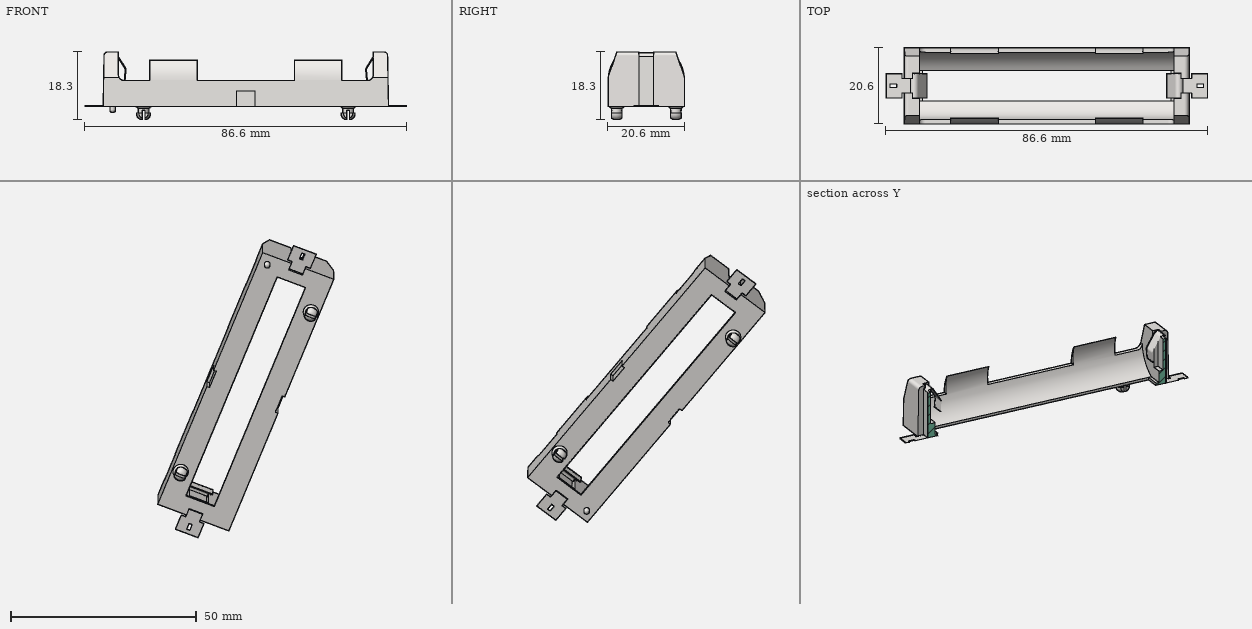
import cadquery as cq
import math

housing_half_width = 10.3
housing_height = 14.7
base_half_length = 38.5
top_half_length = 38.2
inner_half_length = 34.3
rail_height = 7.0
rail_fillet = 1.6
end_top_fillet = 1.0
bevel_start_height = 7.8
bevel_top_half_width = 8.0

bore_radius = 9.3
bore_axis_height = 9.1
floor_thickness = 0.8
opening_half_length = 33.4

clip_top = 12.5
clip_inner_end = 13.1
clip_length = 12.8

side_recess_width = 4.9
side_recess_height = 4.2
side_recess_depth = 0.8

sheet_thickness = 0.3
contact_half_length = 43.3
contact_half_width = 3.3
leaf_side_clearance = 0.1
neck_half_width = 2.0
tab_inner_end = 39.0
leaf_start = 36.1
roll_centre_x = 35.6
roll_centre_z = 13.4
roll_radius = 1.1
leaf_slope = math.radians(58)
foot_slope = math.radians(95)
knee_x = 32.2
foot_length = 3.1
knee_inner_radius = 0.7
tab_slot_x = 41.3
tab_slot_length = 1.7
tab_slot_width = 0.9

riser_back_x = roll_centre_x + roll_radius - sheet_thickness
lower_notch_floor = 12.1
notch_half_width = contact_half_width + leaf_side_clearance
pocket_half_width = 2.7
pocket_floor = 4.2
pocket_depth = 1.3

pin_y = 8.0
snap_pin_x = 27.55
pin_length = 3.55
pin_radius = 2.95 / 2
pin_base_radius = 2.1
pin_base_height = 0.5
barb_radius = 1.9
barb_tip_radius = 0.65
barb_top = 1.7
barb_round_start = 2.0
pin_slot_width = 0.7
pin_slot_top = 1.0
locator_x = 35.9
locator_radius = 1.6 / 2
locator_length = 1.65
locator_round = 0.7


def span_box(x_range, y_range, z_range):
    """Axis-aligned box between pairs of limits."""
    (x0, x1), (y0, y1), (z0, z1) = x_range, y_range, z_range
    return cq.Workplane("XY").box(x1 - x0, y1 - y0, z1 - z0, centered=False).translate((x0, y0, z0))


def bore():
    """Cell space between the end walls, flat at the floor."""
    cylinder = (
        cq.Workplane("YZ", origin=(-inner_half_length, 0, bore_axis_height))
        .circle(bore_radius)
        .extrude(2 * inner_half_length)
    )
    above_floor = span_box(
        (-inner_half_length, inner_half_length),
        (-bore_radius, bore_radius),
        (floor_thickness, bore_axis_height + bore_radius),
    )
    return cylinder.intersect(above_floor)


def cradle_block():
    """Solid with the side outline of the housing and the bevelled flanks of its end walls."""
    block = (
        cq.Workplane("XZ")
        .polyline([
            (-base_half_length, 0),
            (-top_half_length, housing_height),
            (-inner_half_length, housing_height),
            (-inner_half_length, rail_height),
            (inner_half_length, rail_height),
            (inner_half_length, housing_height),
            (top_half_length, housing_height),
            (base_half_length, 0),
        ])
        .close()
        .extrude(housing_half_width, both=True)
    )
    for side in (-1, 1):
        block = block.edges(
            cq.selectors.NearestToPointSelector((side * inner_half_length, 0, rail_height))
        ).fillet(rail_fillet)
        block = block.edges(
            cq.selectors.NearestToPointSelector((side * top_half_length, 0, housing_height))
        ).fillet(end_top_fillet)
    end_section = (
        cq.Workplane("YZ")
        .polyline([
            (-housing_half_width, 0),
            (-housing_half_width, bevel_start_height),
            (-bevel_top_half_width, housing_height),
            (bevel_top_half_width, housing_height),
            (housing_half_width, bevel_start_height),
            (housing_half_width, 0),
        ])
        .close()
        .extrude(base_half_length, both=True)
    )
    return block.intersect(end_section)


def clips():
    """Four clips; the outer face curves inwards, tangent to the rail sides, and thins to the top."""
    curved_bar = (
        cq.Workplane("YZ", origin=(clip_inner_end, 0, rail_height))
        .circle(housing_half_width)
        .extrude(clip_length)
    )
    height_band = span_box(
        (clip_inner_end, clip_inner_end + clip_length),
        (-housing_half_width, housing_half_width),
        (rail_height, clip_top),
    )
    pair = curved_bar.intersect(height_band)
    return pair.union(pair.mirror("YZ"))


def floor_opening():
    half_width = math.sqrt(bore_radius**2 - (bore_axis_height - floor_thickness) ** 2)
    return span_box(
        (-opening_half_length, opening_half_length), (-half_width, half_width), (0, rail_height)
    )


def side_recess(side):
    """Shallow recess at the foot of one rail, at mid length."""
    centre_y = side * (housing_half_width - side_recess_depth / 2)
    return (
        cq.Workplane("XY")
        .box(side_recess_width, side_recess_depth, side_recess_height, centered=(True, True, False))
        .translate((0, centre_y, 0))
    )


def contact_seat():
    """Cut for the contact in the -X end wall."""
    neck_range = (-neck_half_width, neck_half_width)
    outer_groove = span_box((-base_half_length, -riser_back_x), neck_range, (0, housing_height))
    neck_notch = span_box(
        (-base_half_length, -inner_half_length), neck_range, (roll_centre_z, housing_height)
    )
    notch_range = (-notch_half_width, notch_half_width)
    leaf_notch = span_box(
        (-leaf_start, -inner_half_length), notch_range, (roll_centre_z, housing_height)
    )
    pocket_range = (-inner_half_length - pocket_depth, -inner_half_length)
    lower_notch = span_box(pocket_range, notch_range, (lower_notch_floor, housing_height))
    inner_pocket = span_box(
        pocket_range,
        (-pocket_half_width, pocket_half_width),
        (pocket_floor, housing_height),
    )
    return outer_groove.union(neck_notch).union(leaf_notch).union(lower_notch).union(inner_pocket)


def snap_pin(x, y):
    """Split pin with a flared root and a barbed, flat-sided tip."""
    shaft = (
        cq.Workplane("XZ")
        .moveTo(0, 0)
        .lineTo(pin_base_radius, 0)
        .lineTo(pin_radius, -pin_base_height)
        .lineTo(pin_radius, -barb_top)
        .lineTo(barb_radius, -barb_top)
        .lineTo(barb_radius, -barb_round_start)
        .tangentArcPoint((barb_tip_radius, -pin_length), relative=False)
        .lineTo(0, -pin_length)
        .close()
        .revolve(360, (0, 0, 0), (0, 1, 0))
    )
    slot = span_box(
        (-pin_slot_width / 2, pin_slot_width / 2),
        (-barb_radius, barb_radius),
        (-pin_length, -pin_slot_top),
    )
    pin = shaft.cut(slot)
    for side in (-1, 1):
        flat_cut = (
            cq.Workplane("XY")
            .box(2 * barb_radius, barb_radius, pin_length - barb_top, centered=(True, True, False))
            .translate((0, side * (pin_radius + barb_radius / 2), -pin_length))
        )
        pin = pin.cut(flat_cut)
    return pin.translate((x, y, 0))


def locator_pin():
    return (
        cq.Workplane("XY", origin=(-locator_x, pin_y, 0))
        .circle(locator_radius)
        .extrude(-locator_length)
        .faces("<Z")
        .edges()
        .fillet(locator_round)
    )


def make_housing():
    seat = contact_seat()
    body = cradle_block().union(clips()).cut(bore()).cut(floor_opening())
    body = body.cut(seat).cut(seat.mirror("YZ"))
    for side in (-1, 1):
        body = body.cut(side_recess(side))
        body = body.union(snap_pin(side * snap_pin_x, side * pin_y))
    return body.union(locator_pin())


def along(start, angle, distance):
    """Point at a distance from start, heading towards +X and down by an angle."""
    return (start[0] + distance * math.cos(angle), start[1] - distance * math.sin(angle))


def outward(start, angle, distance):
    """Point at a distance from start, square to a surface that falls at an angle."""
    return (start[0] + distance * math.sin(angle), start[1] + distance * math.cos(angle))


def make_contact():
    """Contact of the -X end: tab, riser, roll over the wall, sloped leaf and foot."""
    roll_centre = (-roll_centre_x, roll_centre_z)
    inner_radius = roll_radius - sheet_thickness
    riser_front_x = roll_centre_x + roll_radius

    leaf_outer = outward(roll_centre, leaf_slope, roll_radius)
    leaf_inner = outward(roll_centre, leaf_slope, inner_radius)
    knee_outer = along(leaf_outer, leaf_slope, (-knee_x - leaf_outer[0]) / math.cos(leaf_slope))
    mitre = sheet_thickness / math.cos((foot_slope - leaf_slope) / 2)
    knee_inner = outward(knee_outer, (leaf_slope + foot_slope) / 2, -mitre)
    foot_outer = along(knee_outer, foot_slope, foot_length)
    foot_inner = outward(foot_outer, foot_slope, -sheet_thickness)

    strip = (
        cq.Workplane("XZ")
        .moveTo(-contact_half_length, 0)
        .lineTo(-contact_half_length, sheet_thickness)
        .lineTo(-riser_front_x, sheet_thickness)
        .lineTo(-riser_front_x, roll_centre_z)
        .threePointArc((-roll_centre_x, roll_centre_z + roll_radius), leaf_outer)
        .lineTo(*knee_outer)
        .lineTo(*foot_outer)
        .lineTo(*foot_inner)
        .lineTo(*knee_inner)
        .lineTo(*leaf_inner)
        .threePointArc((-roll_centre_x, roll_centre_z + inner_radius), (-riser_back_x, roll_centre_z))
        .lineTo(-riser_back_x, 0)
        .close()
        .extrude(contact_half_width, both=True)
    )
    for corner, radius in (
        (knee_inner, knee_inner_radius),
        (knee_outer, knee_inner_radius + sheet_thickness),
    ):
        knee_edge = cq.selectors.NearestToPointSelector((corner[0], 0, corner[1]))
        strip = strip.edges(knee_edge).fillet(radius)
    for side in (-1, 1):
        neck_relief = (
            cq.Workplane("XY")
            .box(
                tab_inner_end - leaf_start,
                contact_half_width - neck_half_width,
                housing_height,
                centered=(True, True, False),
            )
            .translate((
                -(tab_inner_end + leaf_start) / 2,
                side * (contact_half_width + neck_half_width) / 2,
                0,
            ))
        )
        strip = strip.cut(neck_relief)
    tab_slot = (
        cq.Workplane("XY", origin=(-tab_slot_x, 0, 0))
        .rect(tab_slot_length, tab_slot_width)
        .extrude(sheet_thickness)
    )
    return strip.cut(tab_slot)


housing = make_housing()
contact = make_contact()
contacts = [contact, contact.mirror("YZ")]

result = cq.Compound.makeCompound([
    *housing.solids().vals(),
    *[solid for strip in contacts for solid in strip.solids().vals()],
])